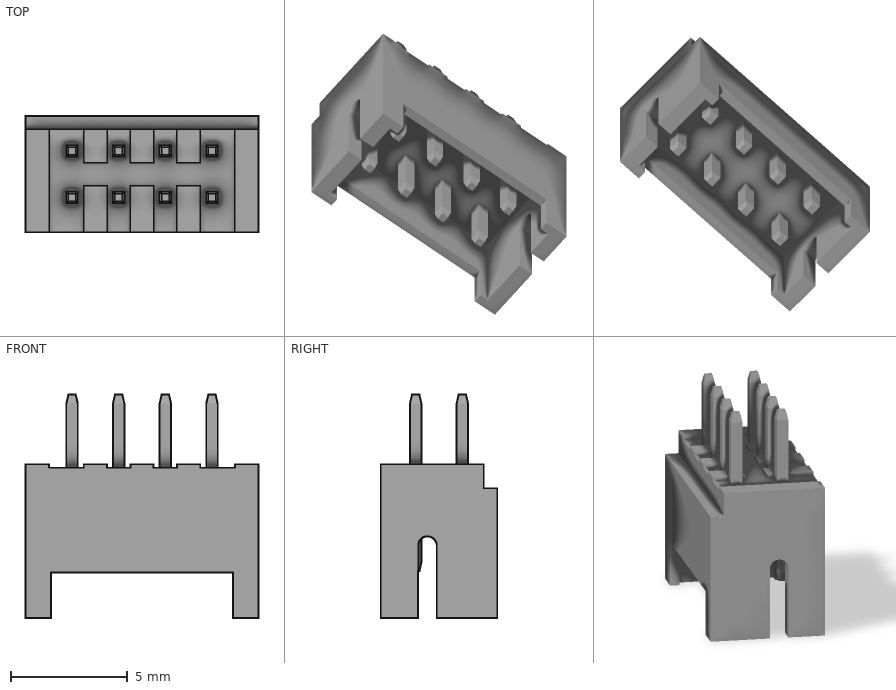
import cadquery as cq


length = 10.0
depth = 5.0
body_height = 6.6

side_wall = 0.4
end_wall = 0.7
base_thickness = 2.0
cavity_height = body_height - base_thickness

step_depth = 0.58
step_drop = 1.03

leg_width = 1.1
window_height = 1.95

slot_width = 0.8
slot_height = 3.5
slot_y = 2.0
slot_radius = slot_width / 2

pitch = 2.0
columns = 4
rows = 2
pin_width = 0.5
pin_tip_width = 0.32
pin_taper = 0.4
pin_bottom = 2.0
pin_top = 9.6
first_pin_x = (length - (columns - 1) * pitch) / 2
first_pin_y = 1.5

recess_depth = 0.15
recess_margin = 1.02
pad_width = 1.0
pad_row_gap = 1.0
pad_row_middle = first_pin_y + pitch / 2
recess_floor = body_height - recess_depth


def box(x, y, z, size_x, size_y, size_z):
    """Box with its lowest corner at (x, y, z)."""
    return cq.Workplane("XY").box(size_x, size_y, size_z, centered=False).translate((x, y, z))


def make_end_slot():
    arch_z = slot_height - slot_radius
    slot = box(0, slot_y - slot_radius, 0, length, slot_width, arch_z)
    arch = cq.Workplane("YZ").center(slot_y, arch_z).circle(slot_radius).extrude(length)
    return slot.union(arch)


def make_top_recess():
    top_depth = depth - step_depth
    recess = box(recess_margin, 0, recess_floor, length - 2 * recess_margin, top_depth, recess_depth)
    front_pad_end = pad_row_middle - pad_row_gap / 2
    rear_pad_start = pad_row_middle + pad_row_gap / 2
    rear_pad_depth = top_depth - rear_pad_start
    for gap in range(columns - 1):
        pad_x = first_pin_x + (gap + 0.5) * pitch - pad_width / 2
        front_pad = box(pad_x, 0, recess_floor, pad_width, front_pad_end, recess_depth)
        rear_pad = box(pad_x, rear_pad_start, recess_floor, pad_width, rear_pad_depth, recess_depth)
        recess = recess.cut(front_pad).cut(rear_pad)
    return recess


def make_housing():
    body = box(0, 0, 0, length, depth, body_height)
    rear_step = box(0, depth - step_depth, body_height - step_drop, length, step_depth, step_drop)
    cavity = box(end_wall, side_wall, 0, length - 2 * end_wall, depth - 2 * side_wall, cavity_height)
    window = box(leg_width, 0, 0, length - 2 * leg_width, depth, window_height)
    return body.cut(rear_step).cut(cavity).cut(window).cut(make_end_slot()).cut(make_top_recess())


def make_pin_tip(z, direction):
    """Taper from full pin width at height z towards the pin end; direction is +1 up, -1 down."""
    return (
        cq.Workplane("XY", origin=(0, 0, z))
        .rect(pin_width, pin_width)
        .workplane(offset=direction * pin_taper)
        .rect(pin_tip_width, pin_tip_width)
        .loft(ruled=True)
    )


def make_pin():
    shank_bottom = pin_bottom + pin_taper
    shank_top = pin_top - pin_taper
    shank = box(-pin_width / 2, -pin_width / 2, shank_bottom, pin_width, pin_width, shank_top - shank_bottom)
    return shank.union(make_pin_tip(shank_top, 1)).union(make_pin_tip(shank_bottom, -1))


result = make_housing()
pin = make_pin()
for column in range(columns):
    for row in range(rows):
        pin_place = (first_pin_x + column * pitch, first_pin_y + row * pitch, 0)
        result = result.union(pin.translate(pin_place))